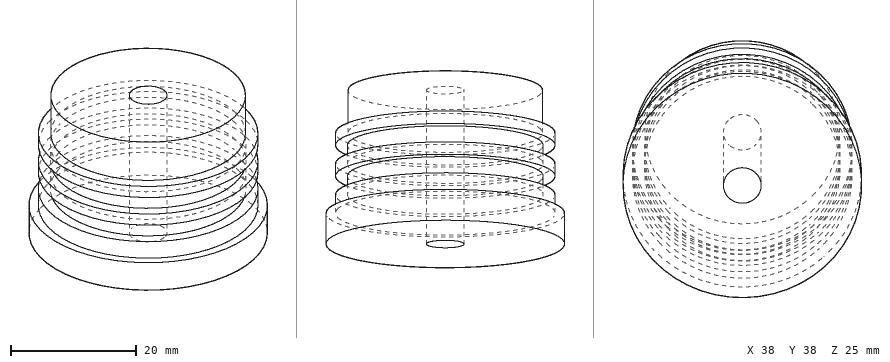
import cadquery as cq

total_height = 25.0
flange_diameter = 38.0
rib_diameter = 35.0
groove_diameter = 31.2
neck_diameter = 31.0
bore_diameter = 6.0

flange_height = 5.0
shoulder_height = 3.0
groove_height = 3.0
rib_height = 2.0
rib_count = 2


def add_disc(body, diameter, height):
    """Stack a coaxial disc on the top face of the body."""
    return body.faces(">Z").workplane(origin=(0, 0, 0)).circle(diameter / 2).extrude(height)


body = cq.Workplane("XY").circle(flange_diameter / 2).extrude(flange_height)
body = add_disc(body, rib_diameter, shoulder_height)

for _ in range(rib_count):
    body = add_disc(body, groove_diameter, groove_height)
    body = add_disc(body, rib_diameter, rib_height)

ribbed_height = flange_height + shoulder_height + rib_count * (groove_height + rib_height)
body = add_disc(body, neck_diameter, total_height - ribbed_height)

result = body.faces(">Z").workplane(origin=(0, 0, 0)).hole(bore_diameter)